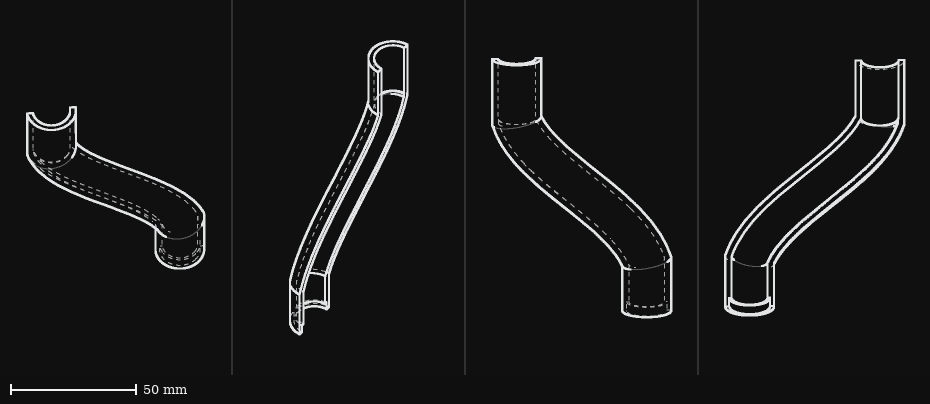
import cadquery as cq
import math

total_height = 105.9
outer_radius = 9.8
bore_radius = 7.2
bend_offset = 52.1
turn_angle = 40.0

upper_miter_z = 80.0
lower_miter_z = 20.4
bend_end_angle = 20.0
start_handle = 23.3
end_handle = 24.9

upper_bore_radius = 7.5
upper_bore_bottom = 80.6
socket_radius = 8.2
socket_depth = 3.7

reach = 2 * total_height

end_angle = math.radians(bend_end_angle)
end_step = (math.sin(end_angle), -math.cos(end_angle))
miter_angle = end_angle / 2
miter_slope = math.tan(miter_angle)
bend_start = (0, upper_miter_z)
bend_end = (bend_offset, lower_miter_z)


def along(point, distance):
    """Point moved along the direction of the bend axis at its ends."""
    return (point[0] + distance * end_step[0], point[1] + distance * end_step[1])


def on_miter(point, x):
    """Point at the given X on the miter line through an axis point."""
    return (x, point[1] + miter_slope * (x - point[0]))


def trimming_solid(points):
    return cq.Workplane("XZ").polyline(points).close().extrude(reach, both=True)


def half_cylinder(radius, x, bottom, top):
    """Upright half-round bar, flat on the bend plane and bulging to -Y."""
    return (
        cq.Workplane("XY", origin=(x, 0, bottom))
        .moveTo(-radius, 0)
        .threePointArc((0, -radius), (radius, 0))
        .close()
        .extrude(top - bottom)
    )


def bend(radius):
    """Half-round bar along the S-curve, starting and ending on the slanted miter faces."""
    path = cq.Workplane("XZ").bezier([
        bend_start,
        along(bend_start, start_handle),
        along(bend_end, -end_handle),
        bend_end,
    ])
    miter_plane = cq.Plane(
        origin=(bend_start[0], 0, bend_start[1]),
        xDir=(math.cos(miter_angle), 0, math.sin(miter_angle)),
        normal=(-math.sin(miter_angle), 0, math.cos(miter_angle)),
    )
    long_radius = radius / math.cos(miter_angle)
    section = (
        cq.Workplane(miter_plane)
        .ellipseArc(long_radius, radius, 180, 360, startAtCurrent=False)
        .close()
    )
    return section.sweep(path)


def bent_bar(radius):
    """Two vertical legs joined by the mitered bend."""
    above_miter = trimming_solid([
        on_miter(bend_start, -reach),
        on_miter(bend_start, reach),
        (reach, reach),
        (-reach, reach),
    ])
    below_miter = trimming_solid([
        on_miter(bend_end, -reach),
        on_miter(bend_end, reach),
        (reach, -reach),
        (-reach, -reach),
    ])
    upper_leg = half_cylinder(radius, 0, 0, total_height).intersect(above_miter)
    lower_leg = half_cylinder(radius, bend_offset, 0, total_height).intersect(below_miter)
    return upper_leg.union(bend(radius)).union(lower_leg)


tube = bent_bar(outer_radius).cut(bent_bar(bore_radius))

tube = tube.cut(half_cylinder(upper_bore_radius, 0, upper_bore_bottom, total_height))
tube = tube.cut(half_cylinder(socket_radius, bend_offset, 0, socket_depth))

result = tube.rotate((0, 0, 0), (0, 0, 1), turn_angle)